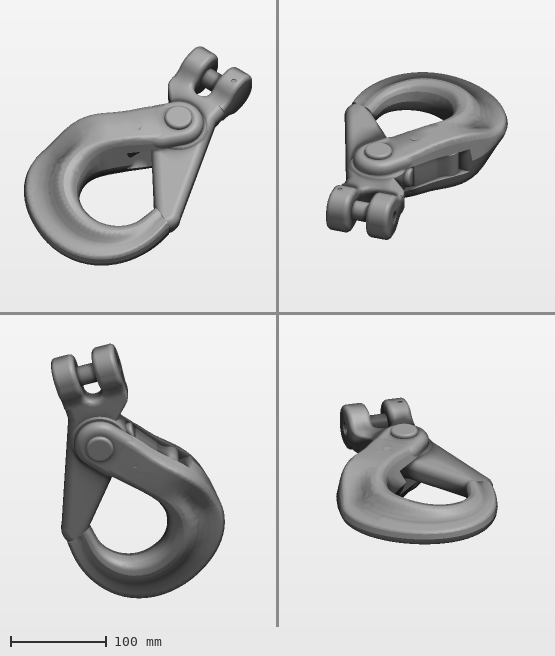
import cadquery as cq
import math


CUT_HALF = 35.5

EYE_RADIUS = 26.0
EYE_HALF = 26.0
EYE_FILLET = 8.5
EYE_REACH = 20.5
ARM_ANGLE = 230
SLOT_HALF = 14.2
SLOT_END_OUTER = (-118, -51.3)
SLOT_END_INNER = (14.7, -65)
SLOT_SIDE = 41.3
RIVET_RADIUS = 14.5
RIVET_HALF = 30.5
RIVET_FILLET = 3.0

PLATE_HALF = 11.5
HUB_RADIUS = 30.7
HUB_HALF = 13.3
HUB_CHAMFER = 2.5
LUG_RADIUS = 11.0
LUG_END_X = -36.3
LUG_Y = -4.5
LUG_BOTTOM_Y = -6.5
LUG_FILLET = 3.0
ARM_FILLET = 8.8
NECK_FILLET = 3.0

NECK_OVERLAP = 3.0
SLOPE_TOP_Y = 31.0
SLOPE_END = (67.0, -87.0)
TIP_BULGE = (69.3, -96.0)
ARM_IN_HUB = (-22.5, -18.5)
NECK_IN_HUB = (-23.5, 17.7)
SHOULDER_END = (-38.3, 33.5)
SHOULDER_MIDDLE = (-42.2, 39.2)

TIP_INNER = (39.2, -95.8)
TIP_OUTER = (66.0, -106.2)

CLEVIS_WIDTH = 68.5
CLEVIS_X = -9.0
CLEVIS_LEFT = CLEVIS_X - CLEVIS_WIDTH / 2
CLEVIS_RIGHT = CLEVIS_X + CLEVIS_WIDTH / 2
CLEVIS_PIN_Y = 75.0
CLEVIS_PIN_RADIUS = 10.3
EAR_HALF = 22.7
EAR_END_Y = 98.8
EAR_CORNER = 19.2
NECK_HOLLOW_RADIUS = 20.5
NECK_Y = 46.0
GAP_WIDTH = 19.5
GAP_BOTTOM_Y = 47.2
EAR_EDGE_FILLET = 4.7
GAP_EDGE_FILLET = 5.3
PUNCH_HOLE_RADIUS = 7.5
DIMPLE_RADIUS = 2.7
DIMPLE_DEPTH = 1.2
DIMPLE_X = 16.5

TRIGGER_HALF = 13.0
TRIGGER_PIN = (-28.0, -35.0)
TRIGGER_PIN_RADIUS = 4.5
TRIGGER_PIN_HALF = 28.5
TRIGGER_TOP_Y = -7.0
TRIGGER_END_Y = -48.0
TRIGGER_TOP_X = -37.7
TRIGGER_INNER_X = -26.5
THUMB_X = -72.0
THUMB_HOLLOW_START = (-53.7, -29.0)
THUMB_HOLLOW_MIDDLE = (-57.8, -34.5)
THUMB_HOLLOW_END = (-64.0, -37.5)
THUMB_ROUND_MIDDLE = (-70.5, -42.0)
WAIST_ANGLE = 232
HUB_CLEARANCE = 1.2


def plate(outline, half):
    """Extrude a closed XY outline equally to both sides of Z = 0."""
    return outline.extrude(half, both=True)


def disc(center, radius):
    """Circle in the XY plane, ready to extrude."""
    return cq.Workplane().center(*center).circle(radius)


INNER_DRAFT = 0.16
OUTER_DRAFT = 0.08
SIDE_SHARE = 0.78

HOOK_STATIONS = [
    ((16.0, -24.8), (-26.2, 10.3), 25.5, 25.5, 0),
    ((12.0, -37.0), (-36.0, 3), 26.0, 26.0, 0),
    ((-1.2, -49.8), (-48.5, -12.5), 27.7, 27.7, 0),
    ((-15.3, -62.5), (-60.7, -28.0), 29.5, 29.5, 0),
    ((-30.0, -79.0), (-84.3, -53.5), 29.5, 29.5, 0.1),
    ((-38.0, -90.0), (-95.0, -77.3), 28.3, 21.0, 0.5),
    ((-40.7, -112), (-100.0, -115), 25.5, 8.3, 1),
    ((-31.0, -131.5), (-87.0, -154.0), 24.8, 8.3, 1),
    ((-16.2, -141.5), (-47.5, -186.5), 21.8, 8.3, 1),
    ((4.5, -144.5), (8.5, -194.3), 18.3, 8.3, 1),
    ((24.2, -135.5), (49.0, -168), 14.7, 8.5, 1),
    ((34.2, -121), (64.5, -132.7), 12.0, 10.0, 1),
    ((40.5, -90.5), (67.5, -95.8), 11.8, 10.3, 1),
]


def blend(start, end, share):
    """Mix two pairs of values; share 0 gives the first pair and 1 the second."""
    return tuple(a + (b - a) * share for a, b in zip(start, end))


def hook_section(inner, outer, bulb, rim, share):
    """Closed cross-section between the inner and outer point: side, shoulder, top, shoulder, side."""
    width = math.dist(inner, outer)
    middle = (bulb + rim) / 2
    inner_side = blend((INNER_DRAFT, SIDE_SHARE * bulb), (0.05, 0.6 * bulb), share)
    crest = (0.29, bulb)
    mid_top = blend((0.5, middle), (0.52, 0.9 * middle), share)
    rim_top = blend((0.82, rim), (0.84, 1.03 * rim), share)
    outer_side = blend((1 - OUTER_DRAFT, SIDE_SHARE * rim), (0.97, 0.65 * rim), share)
    from_inner = blend((INNER_DRAFT * width, SIDE_SHARE * bulb), (0, bulb), share)
    at_inner = blend((INNER_DRAFT * width, SIDE_SHARE * bulb), (0.45 * bulb, bulb), share)
    at_outer = blend((OUTER_DRAFT * width, -SIDE_SHARE * rim), (0.5 * rim, -rim), share)
    to_outer = blend((OUTER_DRAFT * width, -SIDE_SHARE * rim), (0, -rim), share)
    level = (1, 0)
    stretches = [
        ([(0, 0), inner_side], from_inner, at_inner),
        ([inner_side, crest], at_inner, level),
        ([crest, mid_top, rim_top], level, level),
        ([rim_top, outer_side], level, at_outer),
        ([outer_side, (1, 0)], at_outer, to_outer),
    ]
    across = ((outer[0] - inner[0]) / width, (outer[1] - inner[1]) / width)

    def point(t, height):
        return cq.Vector(inner[0] + across[0] * t * width, inner[1] + across[1] * t * width, height)

    def direction(along, up):
        return cq.Vector(across[0] * along, across[1] * along, up).normalized()

    top = [
        cq.Edge.makeSpline([point(*p) for p in points], tangents=[direction(*start), direction(*end)])
        for points, start, end in stretches
    ]
    bottom = [
        cq.Edge.makeSpline(
            [point(t, -height) for t, height in reversed(points)],
            tangents=[direction(-end[0], end[1]), direction(-start[0], start[1])],
        )
        for points, start, end in reversed(stretches)
    ]
    return cq.Wire.assembleEdges(top + bottom)


def beyond_tip():
    """Cutter that ends the hook on the line where the lever rests against it."""
    run = TIP_OUTER[0] - TIP_INNER[0]
    rise = TIP_OUTER[1] - TIP_INNER[1]
    start = (TIP_INNER[0] - run / 2, TIP_INNER[1] - rise / 2)
    end = (TIP_OUTER[0] + run / 2, TIP_OUTER[1] + rise / 2)
    top_y = start[1] + run
    outline = cq.Workplane().polyline([start, end, (end[0], top_y), (start[0], top_y)]).close()
    return plate(outline, CUT_HALF)


def make_hook():
    curve = cq.Workplane(cq.Solid.makeLoft([hook_section(*s) for s in HOOK_STATIONS]))
    reach = EYE_REACH / 2
    eye_outline = cq.Workplane().transformed(rotate=(0, 0, ARM_ANGLE)).center(reach, 0)
    eye = plate(eye_outline.slot2D(EYE_REACH + 2 * EYE_RADIUS, 2 * EYE_RADIUS), EYE_HALF)
    eye = eye.faces("|Z").edges().fillet(EYE_FILLET)
    slot_outline = cq.Workplane().polyline([
        SLOT_END_OUTER, SLOT_END_INNER, (SLOT_SIDE, SLOT_END_INNER[1]),
        (SLOT_SIDE, SLOT_SIDE), (SLOT_END_OUTER[0], SLOT_SIDE),
    ]).close()
    rivet = plate(disc((0, 0), RIVET_RADIUS), RIVET_HALF).faces("|Z").edges().fillet(RIVET_FILLET)
    trigger_hole = plate(disc(TRIGGER_PIN, TRIGGER_PIN_RADIUS), CUT_HALF)
    hook = curve.union(eye).cut(plate(slot_outline, SLOT_HALF)).cut(beyond_tip())
    return hook.cut(trigger_hole).union(rivet)


def midpoint(start, end):
    return ((start[0] + end[0]) / 2, (start[1] + end[1]) / 2)


def round_sides(body, points, radius):
    """Fillet the upper and lower edges of a plate that pass closest to the given XY points."""
    edges = []
    for x, y in points:
        for z in (-PLATE_HALF, PLATE_HALF):
            edges += body.edges(">Z or <Z").edges(cq.selectors.NearestToPointSelector((x, y, z))).vals()
    return body.newObject(edges).fillet(radius)


def make_arm():
    """Flat plate from the neck to the hook tip, well rounded along both sides of the arm."""
    top_y = NECK_Y + NECK_OVERLAP
    outline = (
        cq.Workplane().moveTo(CLEVIS_LEFT, top_y).lineTo(CLEVIS_RIGHT, top_y)
        .lineTo(CLEVIS_RIGHT, SLOPE_TOP_Y).lineTo(*SLOPE_END)
        .threePointArc(TIP_BULGE, TIP_OUTER).lineTo(*TIP_INNER)
        .lineTo(*ARM_IN_HUB).lineTo(*NECK_IN_HUB).lineTo(*SHOULDER_END)
        .threePointArc(SHOULDER_MIDDLE, (CLEVIS_LEFT, NECK_Y)).close()
    )
    arm = plate(outline, PLATE_HALF)
    slope = [
        midpoint((CLEVIS_RIGHT, top_y), (CLEVIS_RIGHT, SLOPE_TOP_Y)),
        midpoint((CLEVIS_RIGHT, SLOPE_TOP_Y), SLOPE_END),
        TIP_BULGE,
    ]
    arm = round_sides(arm, slope, ARM_FILLET)
    arm = round_sides(arm, [midpoint(TIP_INNER, ARM_IN_HUB)], ARM_FILLET)
    return round_sides(arm, [midpoint(NECK_IN_HUB, SHOULDER_END), SHOULDER_MIDDLE], NECK_FILLET)


def make_clevis():
    """Rounded block on the neck, from which the two ears are made."""
    flat_y = EAR_END_Y - EAR_CORNER
    flat_z = EAR_HALF - EAR_CORNER
    diagonal = EAR_CORNER / math.sqrt(2)
    turn = math.acos(1 - (EAR_HALF - PLATE_HALF) / (NECK_HOLLOW_RADIUS + EAR_CORNER))
    change_y = NECK_Y + NECK_HOLLOW_RADIUS * math.sin(turn)
    change_z = PLATE_HALF + NECK_HOLLOW_RADIUS * (1 - math.cos(turn))
    crown_y = change_y + EAR_CORNER * math.sin(turn)
    profile = (
        cq.Workplane("YZ", origin=(CLEVIS_X, 0, 0)).moveTo(NECK_Y, 0).lineTo(NECK_Y, PLATE_HALF)
        .radiusArc((change_y, change_z), -NECK_HOLLOW_RADIUS)
        .radiusArc((crown_y, EAR_HALF), EAR_CORNER)
        .lineTo(flat_y, EAR_HALF)
        .threePointArc((flat_y + diagonal, flat_z + diagonal), (EAR_END_Y, flat_z))
        .lineTo(EAR_END_Y, 0).close()
    )
    half = profile.extrude(CLEVIS_WIDTH / 2, both=True)
    ears = half.union(half.mirror("XY")).clean()
    return ears.faces("<X or >X").edges("not <Y").fillet(EAR_EDGE_FILLET)


def make_hub():
    """Hub disc between the fork cheeks, with the stop lug on its left side."""
    hub = plate(disc((0, 0), HUB_RADIUS), HUB_HALF).faces("|Z").edges().chamfer(HUB_CHAMFER)
    lug = (
        cq.Workplane("YZ").center(LUG_Y, 0).circle(LUG_RADIUS).extrude(LUG_END_X)
        .faces("<X").edges().fillet(LUG_FILLET)
    )
    below_lug = cq.Workplane().box(4 * LUG_RADIUS, 2 * LUG_RADIUS, 4 * LUG_RADIUS)
    lug = lug.cut(below_lug.translate((LUG_END_X, LUG_BOTTOM_Y - LUG_RADIUS, 0)))
    return hub.union(lug)


def cut_gap(lever):
    """Open the round-bottomed gap between the ears and round its edges."""
    radius = GAP_WIDTH / 2
    left = CLEVIS_X - radius
    right = CLEVIS_X + radius
    bend_y = GAP_BOTTOM_Y + radius
    mouth_y = EAR_END_Y + 3
    gap_outline = (
        cq.Workplane().moveTo(left, mouth_y).lineTo(left, bend_y)
        .threePointArc((CLEVIS_X, GAP_BOTTOM_Y), (right, bend_y)).lineTo(right, mouth_y).close()
    )
    lever = lever.cut(plate(gap_outline, CUT_HALF))
    margin = 0.3
    along_gap = cq.selectors.BoxSelector(
        (left - margin, GAP_BOTTOM_Y - margin, -CUT_HALF), (right + margin, mouth_y, CUT_HALF), True
    )
    return lever.edges(along_gap).edges("not |Z or >Y").fillet(GAP_EDGE_FILLET)


def make_lever():
    lever = cut_gap(make_arm().union(make_clevis())).union(make_hub())
    ear_width = (CLEVIS_WIDTH - GAP_WIDTH) / 2
    on_pin_axis = cq.Workplane("YZ", origin=(CLEVIS_LEFT, 0, 0)).center(CLEVIS_PIN_Y, 0)
    pin = on_pin_axis.circle(CLEVIS_PIN_RADIUS).extrude(CLEVIS_WIDTH - ear_width / 2)
    punch_hole = on_pin_axis.circle(PUNCH_HOLE_RADIUS).extrude(ear_width)
    dimple = (
        cq.Workplane(origin=(DIMPLE_X, CLEVIS_PIN_Y, EAR_HALF - DIMPLE_DEPTH))
        .circle(DIMPLE_RADIUS).extrude(2 * DIMPLE_DEPTH)
    )
    rivet_hole = plate(disc((0, 0), RIVET_RADIUS), RIVET_HALF)
    return lever.union(pin).cut(punch_hole).cut(dimple).cut(rivet_hole)


def make_trigger():
    """Locking block in the fork slot, with a thumb rest at its lower end and its pin in one piece."""
    clearance = HUB_RADIUS + HUB_CLEARANCE
    top_x = -math.sqrt(clearance**2 - TRIGGER_TOP_Y**2)
    waist = math.radians(WAIST_ANGLE)
    mid = (waist + math.atan2(TRIGGER_TOP_Y, top_x) + 2 * math.pi) / 2
    outline = (
        cq.Workplane().moveTo(TRIGGER_TOP_X, TRIGGER_TOP_Y).lineTo(*THUMB_HOLLOW_START)
        .threePointArc(THUMB_HOLLOW_MIDDLE, THUMB_HOLLOW_END)
        .threePointArc(THUMB_ROUND_MIDDLE, (THUMB_X, TRIGGER_END_Y))
        .lineTo(TRIGGER_INNER_X, TRIGGER_END_Y)
        .lineTo(clearance * math.cos(waist), clearance * math.sin(waist))
        .threePointArc((clearance * math.cos(mid), clearance * math.sin(mid)), (top_x, TRIGGER_TOP_Y))
        .close()
    )
    pin = plate(disc(TRIGGER_PIN, TRIGGER_PIN_RADIUS), TRIGGER_PIN_HALF)
    return plate(outline, TRIGGER_HALF).union(pin)


hook = make_hook()
lever = make_lever()
trigger = make_trigger()
result = cq.Compound.makeCompound([body.solids().val() for body in (hook, lever, trigger)])